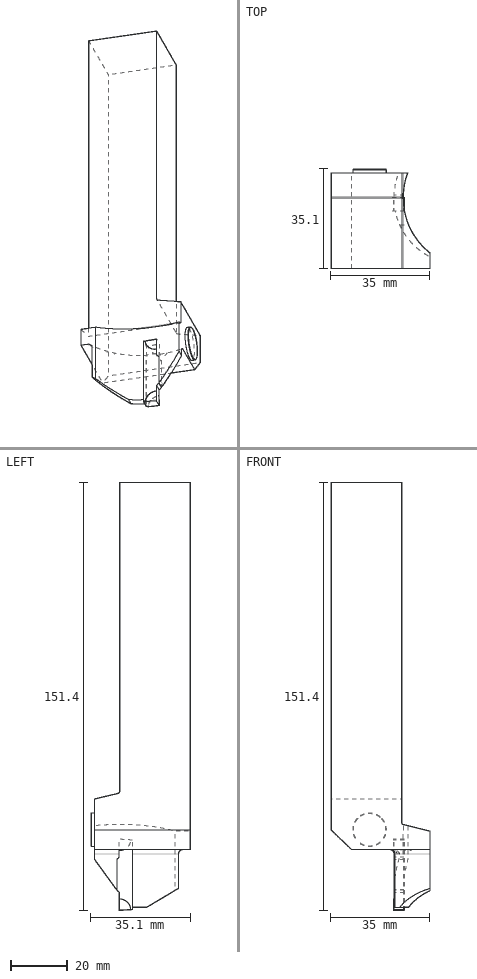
import cadquery as cq


overall_x = 35.02
overall_y = 35.1
overall_z = 151.35

shank_side = 25.0
head_y = 33.85
shank_top = 129.8
root_fillet = 0.7
back_flange_root_z = 20.0
back_flange_edge_z = 17.9
side_flange_root_z = 9.0
side_flange_edge_z = 6.5
head_bevel_x = 7.2
head_bevel_z = 6.9

screw_diameter = 11.86
screw_x = 13.6
screw_z = 7.0
screw_edge_chamfer = 0.2

blade_centre_y = shank_side
blade_outer_x = 22.2
blade_outer_radius = 23.45
blade_inner_x = 25.5
blade_inner_radius = 24.8
blade_fillet = 1.5
tip_projection = 1.1
tip_z = shank_top - overall_z
blade_bottom_z = tip_z + tip_projection
blade_flat_y = 15.4
blade_heel_y = 3.9
blade_heel_z = -13.6
jaw_root_z = -3.5
jaw_nose_y = 26.6
jaw_nose_z = -13.5

insert_bottom_y = 20.4
insert_crown_y = 25.95
rake_y = 25.1
rake_length = 6.4
exposed_rear_rake = 2.7
insert_rear_z = rake_length - exposed_rear_rake
insert_mid_z = (insert_rear_z + tip_z) / 2
crown_ramp = 0.8
end_relief = 0.3
insert_min_x = 22.2
insert_max_x = 25.6
cutting_min_x = 22.0
cutting_max_x = 25.9
cheek_taper = 0.15
cheek_radius = 4.1
corner_radius = 0.3

insert_outline = [
    (insert_bottom_y, insert_rear_z - end_relief),
    (rake_y, insert_rear_z),
    (rake_y, insert_rear_z - rake_length),
    (insert_crown_y, insert_rear_z - rake_length - crown_ramp),
    (insert_crown_y, tip_z + rake_length + crown_ramp),
    (rake_y, tip_z + rake_length),
    (rake_y, tip_z),
    (insert_bottom_y, tip_z + end_relief),
]


def slab_along_x(points, min_x, max_x):
    """Extrude a (Y, Z) outline from min_x to max_x."""
    return cq.Workplane("YZ", origin=(min_x, 0, 0)).polyline(points).close().extrude(max_x - min_x)


def slab_along_y(points, depth):
    """Extrude an (X, Z) outline from Y = 0 to Y = depth."""
    return cq.Workplane("XZ").polyline(points).close().extrude(-depth)


def cylinder_along_z(centre_x, radius):
    """Long upright cylinder centred on the blade's arc line, spanning the blade and head."""
    height = back_flange_root_z - tip_z
    return cq.Workplane("XY", origin=(centre_x, blade_centre_y, tip_z)).circle(radius).extrude(height)


def make_shank_and_head():
    profile_with_back_flange = [
        (0, 0),
        (head_y, 0),
        (head_y, back_flange_edge_z),
        (shank_side, back_flange_root_z),
        (shank_side, shank_top),
        (0, shank_top),
    ]
    side_flange = [
        (0, 0),
        (overall_x, 0),
        (overall_x, side_flange_edge_z),
        (shank_side, side_flange_root_z),
        (0, side_flange_root_z),
    ]
    bevel = [(0, 0), (head_bevel_x, 0), (0, head_bevel_z)]

    shank = slab_along_x(profile_with_back_flange, 0, shank_side)
    back_root = cq.selectors.NearestToPointSelector((shank_side / 2, shank_side, back_flange_root_z))
    shank = shank.edges(back_root).fillet(root_fillet)
    body = shank.union(slab_along_y(side_flange, head_y))
    side_root = cq.selectors.NearestToPointSelector((shank_side, head_y / 2, side_flange_root_z))
    body = body.edges(side_root).fillet(root_fillet)
    return body.cut(slab_along_y(bevel, head_y))


def make_blade_block():
    """Blade block reaching up to the underside of the head, rounded outside and not yet hollowed."""
    side_outline = [
        (0, 0),
        (head_y, 0),
        (head_y, jaw_root_z),
        (jaw_nose_y, jaw_nose_z),
        (rake_y, jaw_nose_z - (jaw_nose_y - rake_y)),
        (insert_bottom_y, blade_bottom_z),
        (blade_flat_y, blade_bottom_z),
        (blade_heel_y, blade_heel_z),
        (0, blade_heel_z),
    ]
    block = slab_along_x(side_outline, 0, overall_x)
    return block.intersect(cylinder_along_z(blade_outer_x + blade_outer_radius, blade_outer_radius))


def make_screw_head():
    length = overall_y - head_y
    screw = cq.Workplane("XZ", origin=(screw_x, head_y, screw_z)).circle(screw_diameter / 2).extrude(-length)
    return screw.faces(">Y").chamfer(screw_edge_chamfer)


def make_cutting_end():
    """Lower end of the insert: widest at the cutting edge, tapering upward inside a round cheek outline."""
    cheek_top_z = tip_z + cheek_radius
    front_outline = [
        (cutting_min_x, tip_z),
        (cutting_max_x, tip_z),
        (cutting_max_x - cheek_taper, cheek_top_z),
        (cutting_min_x + cheek_taper, cheek_top_z),
    ]
    wedge = slab_along_y(front_outline, insert_crown_y).faces("<Z").edges("|Y").fillet(corner_radius)
    cheek = cq.Workplane("YZ", origin=(0, rake_y, tip_z)).circle(cheek_radius).extrude(overall_x)
    side_outline = slab_along_x(insert_outline, cutting_min_x, cutting_max_x)
    return wedge.intersect(cheek).intersect(side_outline)


def make_insert():
    cutting_end = make_cutting_end()
    rear_end = cutting_end.mirror("XY", (0, 0, insert_mid_z))
    bar = slab_along_x(insert_outline, insert_min_x, insert_max_x)
    return bar.union(cutting_end).union(rear_end)


def cut_insert_seat(body):
    """Slot open to +X in the head, and through the whole blade below it."""
    seat_in_head = slab_along_x(insert_outline, cutting_min_x, overall_x)
    seat_through = slab_along_x(insert_outline, 0, overall_x)
    below_head = cq.Workplane("XY").rect(2 * overall_x, 2 * overall_y).extrude(tip_z)
    return body.cut(seat_in_head).cut(seat_through.intersect(below_head))


def make_holder():
    body = make_shank_and_head().union(make_blade_block())
    outer_arc_mid = (blade_outer_x, blade_centre_y, 0)
    body = body.edges(cq.selectors.NearestToPointSelector(outer_arc_mid)).fillet(blade_fillet)
    hollow = cylinder_along_z(blade_inner_x + blade_inner_radius, blade_inner_radius)
    body = body.cut(hollow).union(make_screw_head())
    return cut_insert_seat(body)


insert = make_insert()
holder = make_holder()

result = cq.Compound.makeCompound([holder.val(), insert.val()])